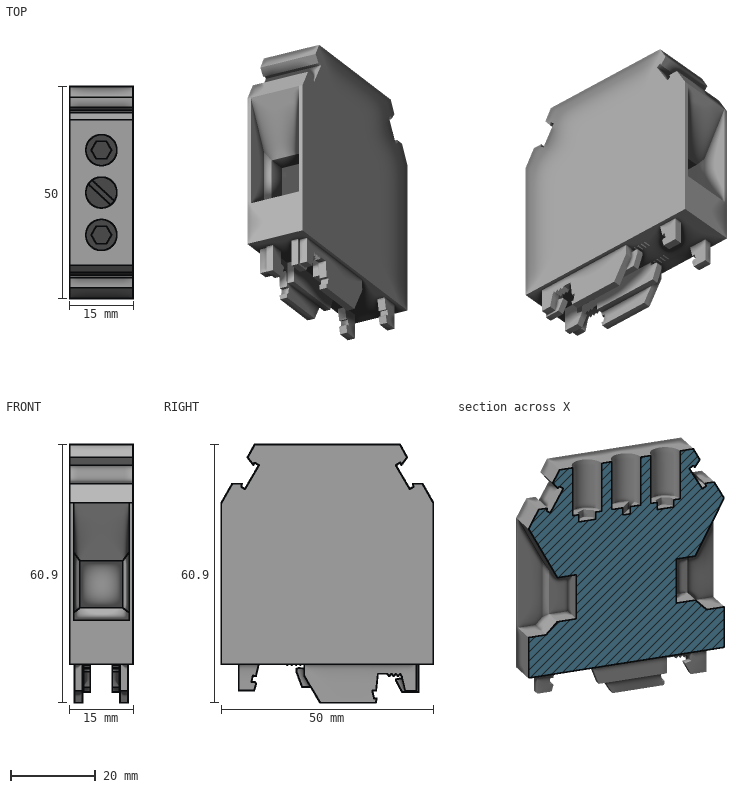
import cadquery as cq
import math


body_width = 15.0
body_length = 50.0
body_height = 51.8
half_length = body_length / 2
wall_top = 38.0
shoulder_top = 42.55

pocket_half_width = 6.5
pocket_floor = 10.4
pocket_depth = 12.2
throat_half_width = 5.05
throat_floor = 13.3
throat_roof = 24.35
throat_start = 7.35
side_taper_start = 6.3
ramp_start = throat_start - (throat_floor - pocket_floor)

well_diameter = 7.3
well_pitch = 10.0
well_depth = 12.2
recess_depth = 1.8
hex_flats = 4.15
hex_corners = hex_flats / math.cos(math.radians(30))
driver_slot_width = 1.3
driver_slot_angle = -43.0
well_floor = body_height - well_depth

foot_drop = 9.1
heel_drop = 6.2
outer_plate_inner_x = 4.4
outer_plate_outer_x = 6.35
inner_plate_inner_x = 2.55
inner_plate_outer_x = 4.25
foot_end = 20.9
root = 0.6
tooth_pitch = 1.05
tooth_half_width = tooth_pitch / 2


def prism_x(points, x_start, x_end):
    """Extrude a (y, z) outline between two X positions."""
    return cq.Workplane("YZ", origin=(x_start, 0, 0)).polyline(points).close().extrude(x_end - x_start)


def housing():
    end_outline = [
        (half_length, 0),
        (half_length, wall_top),
        (22.4, shoulder_top),
        (20.1, shoulder_top),
        (20.3, 41.85),
        (19.4, 41.3),
        (16.15, 46.9),
        (17.2, 47.5),
        (17.4, 46.9),
        (18.8, 48.7),
        (17.1, body_height),
    ]
    other_end = [(-y, z) for y, z in reversed(end_outline)]
    return prism_x(end_outline + other_end, -body_width / 2, body_width / 2)


def wire_pocket():
    """Funnel and throat entering the -Y end."""
    side_outline = [
        (-half_length, pocket_floor),
        (ramp_start - half_length, pocket_floor),
        (throat_start - half_length, throat_floor),
        (pocket_depth - half_length, throat_floor),
        (pocket_depth - half_length, throat_roof),
        (throat_start - half_length, throat_roof),
        (-half_length, wall_top),
    ]
    right_plan = [
        (pocket_half_width, -half_length),
        (pocket_half_width, side_taper_start - half_length),
        (throat_half_width, throat_start - half_length),
        (throat_half_width, pocket_depth - half_length),
    ]
    left_plan = [(-x, y) for x, y in reversed(right_plan)]
    plan = cq.Workplane("XY").polyline(right_plan + left_plan).close().extrude(body_height)
    return prism_x(side_outline, -pocket_half_width, pocket_half_width).intersect(plan)


def screw_wells():
    floor = cq.Workplane("XY", origin=(0, 0, well_floor))
    below = cq.Workplane("XY", origin=(0, 0, well_floor - recess_depth))
    end_wells = [(0, -well_pitch), (0, well_pitch)]
    wells = floor.pushPoints(end_wells + [(0, 0)]).circle(well_diameter / 2).extrude(well_depth)
    sockets = below.pushPoints(end_wells).polygon(6, hex_corners).extrude(recess_depth)
    slot_bar = below.rect(well_diameter, driver_slot_width).extrude(recess_depth)
    slot_bar = slot_bar.rotate((0, 0, 0), (0, 0, 1), driver_slot_angle)
    slot = slot_bar.intersect(below.circle(well_diameter / 2).extrude(recess_depth))
    return wells.union(sockets).union(slot)


def outer_plate():
    tooth_root = -2.25
    tooth_tip = -2.85
    first_valley = 17.2
    teeth = []
    for i in range(3):
        valley = first_valley - i * tooth_pitch
        teeth += [(valley, tooth_root), (valley - tooth_half_width, tooth_tip)]
    last_valley = first_valley - 3 * tooth_pitch

    hook_and_block = [
        (foot_end, root),
        (foot_end, -heel_drop),
        (18.35, -heel_drop),
        (17.6, -3.1),
        *teeth,
        (last_valley, tooth_root),
        (11.95, tooth_root),
        (11.5, -heel_drop),
        (10.6, -heel_drop),
        (11.0, -8.05),
        (11.65, -8.05),
        (11.45, -foot_drop),
        (-1.7, -foot_drop),
        (-5.5, -2.7),
        (-5.5, root),
    ]
    end_foot = [
        (-16.15, root),
        (-16.15, 0),
        (-16.8, -2.85),
        (-17.55, -2.7),
        (-17.85, -4.15),
        (-17.1, -4.15),
        (-16.75, -4.55),
        (-17.25, -heel_drop),
        (-foot_end, -heel_drop),
        (-foot_end, root),
    ]
    plate = prism_x(hook_and_block, outer_plate_inner_x, outer_plate_outer_x)
    return plate.union(prism_x(end_foot, outer_plate_inner_x, outer_plate_outer_x))


def inner_plate():
    hook = [
        (21.5, root),
        (21.5, -6.6),
        (17.6, -6.6),
        (16.15, -3.85),
        (16.15, -3.55),
        (17.65, -3.2),
        (17.65, root),
    ]
    block = [
        (11.45, root),
        (11.45, -5.35),
        (-5.95, -5.35),
        (-7.3, -1.75),
        (-7.3, -1.05),
        (-6.7, -0.85),
        (-5.35, -1.0),
        (-5.35, root),
    ]
    first_tooth = -6.35
    tooth_tip = -0.25
    plate = prism_x(hook, inner_plate_inner_x, inner_plate_outer_x)
    plate = plate.union(prism_x(block, inner_plate_inner_x, inner_plate_outer_x))
    for i in range(4):
        y = first_tooth - i * tooth_pitch
        tooth = [(y - tooth_half_width, root), (y, tooth_tip), (y + tooth_half_width, root)]
        plate = plate.union(prism_x(tooth, inner_plate_inner_x, inner_plate_outer_x))
    return plate


pocket = wire_pocket()
feet = outer_plate().union(inner_plate())

result = housing().cut(pocket).cut(pocket.mirror("XZ")).cut(screw_wells())
result = result.union(feet).union(feet.mirror("YZ"))